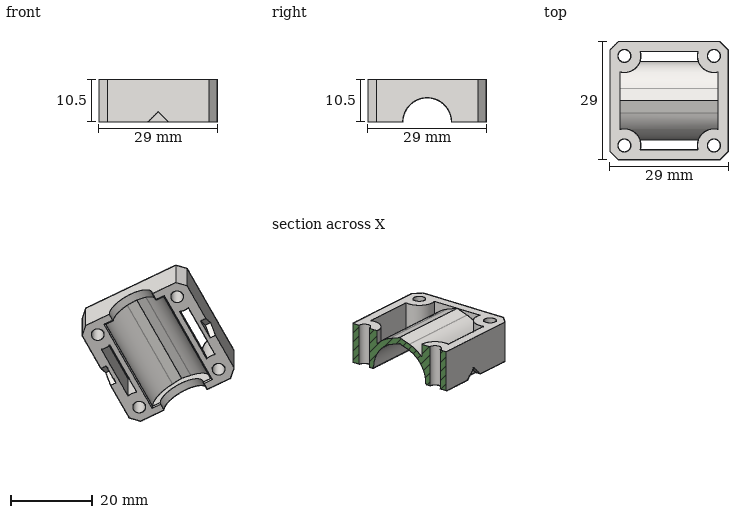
import cadquery as cq
import math

side = 29.0
height = 10.5
corner_chamfer = 2.05
wall = 2.5

hole_diameter = 3.1
hole_spacing = 21.92
boss_radius = 4.05

sleeve_radius = 9.65
roof_half_width = 3.05
sleeve_axis_height = 0.32

bore_radius = 5.95
chamber_radius = 8.0
end_wall = 2.12
chamber_rim_chamfer = 0.32

notch_half_width = 2.55
notch_height = 2.55
notch_depth = 1.45


def arched_prism(radius, length):
    """Arched prism along X: straight feet, round sides and two tangent roof planes."""
    roof_angle = math.asin(roof_half_width / sleeve_radius)
    tangent_y = radius * math.sin(roof_angle)
    tangent_z = sleeve_axis_height + radius * math.cos(roof_angle)
    peak_z = sleeve_axis_height + radius / math.cos(roof_angle)
    middle_angle = (math.pi / 2 + roof_angle) / 2
    middle_y = radius * math.sin(middle_angle)
    middle_z = sleeve_axis_height + radius * math.cos(middle_angle)
    return (
        cq.Workplane("YZ")
        .moveTo(-radius, 0)
        .lineTo(-radius, sleeve_axis_height)
        .threePointArc((-middle_y, middle_z), (-tangent_y, tangent_z))
        .lineTo(0, peak_z)
        .lineTo(tangent_y, tangent_z)
        .threePointArc((middle_y, middle_z), (radius, sleeve_axis_height))
        .lineTo(radius, 0)
        .close()
        .extrude(length / 2, both=True)
    )


inner_side = side - 2 * wall
block = (
    cq.Workplane("XY")
    .rect(side, side)
    .extrude(height)
    .edges("|Z")
    .chamfer(corner_chamfer)
)
interior = cq.Workplane("XY").rect(inner_side, inner_side).extrude(height)

bosses = (
    cq.Workplane("XY")
    .rect(hole_spacing, hole_spacing, forConstruction=True)
    .vertices()
    .circle(boss_radius)
    .extrude(height)
)
sleeve = arched_prism(sleeve_radius, inner_side)
body = block.cut(interior.cut(bosses).cut(sleeve))

chamber_length = side - 2 * end_wall
chamber = arched_prism(chamber_radius, chamber_length)
chamber_rim = (
    cq.Workplane("XY")
    .rect(chamber_length + 2 * chamber_rim_chamfer, 2 * (chamber_radius + chamber_rim_chamfer))
    .workplane(offset=chamber_rim_chamfer)
    .rect(chamber_length, 2 * chamber_radius)
    .loft(ruled=True)
)
bore = cq.Workplane("YZ").circle(bore_radius).extrude(side / 2, both=True)
body = body.cut(chamber).cut(chamber_rim).cut(bore)

holes = (
    cq.Workplane("XY")
    .rect(hole_spacing, hole_spacing, forConstruction=True)
    .vertices()
    .circle(hole_diameter / 2)
    .extrude(height)
)
body = body.cut(holes)

notch_prism = (
    cq.Workplane("XZ")
    .polyline([(-notch_half_width, 0), (0, notch_height), (notch_half_width, 0)])
    .close()
    .extrude(notch_depth)
)
front_notch = notch_prism.translate((0, -side / 2 + notch_depth, 0))
back_notch = notch_prism.translate((0, side / 2, 0))
result = body.cut(front_notch).cut(back_notch)